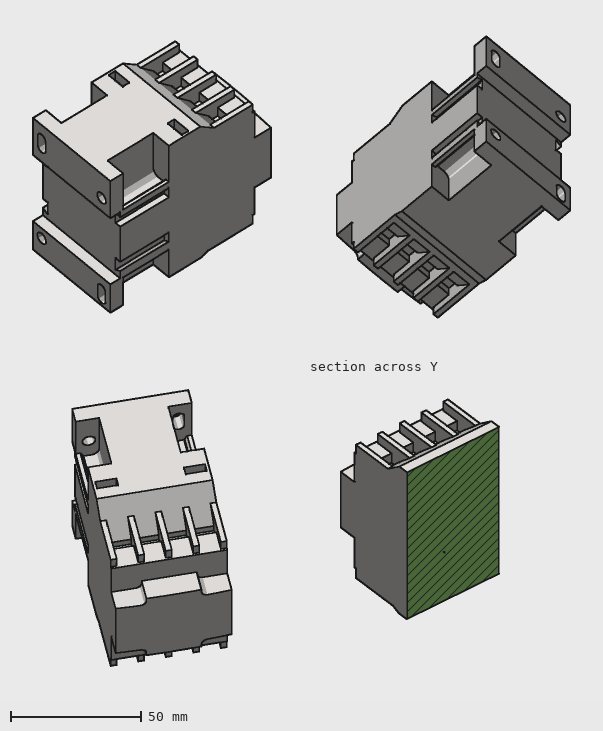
import cadquery as cq
import math


width = 45.5
height = 71.0
half_width = width / 2
rail_gap_depth = 5.0
rail_gap_bottom = 15.3
rail_gap_top = 51.0
shoulder_y = 72.95
terminal_end_y = 72.05

upper_ramp_start_y = 45.55
deck_start_y = 52.5
upper_deck_z = 65.8
upper_block_z = 61.5

lower_ramp_start_y = 45.8
lower_ramp_end_y = 49.6
lower_deck_z = 1.5
lower_block_z = 6.15

barrier_thickness = 2.35
compartment_count = 4
compartment_width = (width - (compartment_count + 1) * barrier_thickness) / compartment_count
compartment_pitch = compartment_width + barrier_thickness
chute_end_y = 59.0
chute_drop = 5.9
block_front_y = 63.6
well_depth = 8.8

nose_side_y = 81.3
nose_crown_y = 81.98
nose_centre_z = 33.85
nose_height = 34.4
nose_wing_height = 26.9
nose_half_core = 10.8
nose_fillet = 2.45

flange_thickness = 6.5
pocket_end_y = 29.6
pocket_depth = 9.2
pocket_fillet = 3.1
lip_flat = 1.8
lip_slope_end = 3.1
lip_height = 2.1
upper_lip_z = 51.5
lower_lip_z = 14.9

groove_depth = 2.8
groove_flare = 1.45
upper_groove_inner_z = 43.2
upper_groove_outer_z = 48.2
lower_groove_inner_z = 24.2
lower_groove_outer_z = 19.3

hole_x = 17.6
hole_diameter = 5.1
upper_hole_z = 58.1
lower_hole_z = 9.9
slot_width = 4.5
slot_length = 9.5
upper_slot_z = 61.05
lower_slot_z = 6.25

recess_inset = 1.25
recess_length = 8.3
recess_start_y = 37.2
recess_width = 3.4
recess_depth = 5.0


def along_x(points, start_x, length):
    """Extrude a closed (Y, Z) outline along +X from start_x."""
    return cq.Workplane("YZ").workplane(offset=start_x).polyline(points).close().extrude(length)


def along_y(profile, start_y, end_y):
    """Extrude a closed (X, Z) sketch function along +Y between two planes."""
    plane = cq.Workplane("XZ", origin=(0, start_y, 0))
    return profile(plane).close().extrude(start_y - end_y)


def both_sides(cutter):
    """Join a left-hand shape with its mirror image on the right."""
    return cutter.union(cutter.mirror("YZ"))


def make_housing():
    outline = [
        (0, 0),
        (lower_ramp_start_y, 0),
        (lower_ramp_end_y, lower_deck_z),
        (terminal_end_y, lower_deck_z),
        (terminal_end_y, lower_block_z),
        (shoulder_y, lower_block_z),
        (shoulder_y, upper_block_z),
        (terminal_end_y, upper_block_z),
        (terminal_end_y, upper_deck_z),
        (deck_start_y, upper_deck_z),
        (upper_ramp_start_y, height),
        (0, height),
        (0, rail_gap_top),
        (rail_gap_depth, rail_gap_top),
        (rail_gap_depth, rail_gap_bottom),
        (0, rail_gap_bottom),
    ]
    return along_x(outline, -half_width, width)


def make_nose():
    """Cross-shaped nose with concave corners and a gently crowned face."""
    length = nose_crown_y - shoulder_y
    core = cq.Workplane("XY").box(2 * nose_half_core, length, nose_height)
    wings = cq.Workplane("XY").box(width, length, nose_wing_height)
    reach = (
        (nose_half_core + half_width) / 2,
        length,
        (nose_wing_height + nose_height) / 4,
    )
    inner_corners = cq.selectors.BoxSelector(tuple(-size for size in reach), reach)
    nose = core.union(wings).edges("|Y").edges(inner_corners).fillet(nose_fillet)
    nose = nose.translate((0, shoulder_y + length / 2, nose_centre_z))
    crowned = (
        cq.Workplane("XY")
        .moveTo(-half_width, shoulder_y)
        .lineTo(-half_width, nose_side_y)
        .threePointArc((0, nose_crown_y), (half_width, nose_side_y))
        .lineTo(half_width, shoulder_y)
        .close()
        .extrude(height)
    )
    return nose.intersect(crowned)


def make_compartments(deck_z, block_z, outward):
    """Spaces between the barriers; outward is +1 on the upper deck, -1 on the lower."""
    chute_z = deck_z - outward * chute_drop
    well_z = deck_z - outward * well_depth
    outline = [
        (deck_start_y, deck_z),
        (chute_end_y, chute_z),
        (chute_end_y, well_z),
        (block_front_y, well_z),
        (block_front_y, block_z),
        (terminal_end_y, block_z),
        (terminal_end_y, deck_z),
    ]
    spaces = cq.Workplane("XY")
    for index in range(compartment_count):
        start_x = -half_width + barrier_thickness + index * compartment_pitch
        spaces = spaces.add(along_x(outline, start_x, compartment_width))
    return spaces.combine()


def make_pockets(lip_z, edge_z, outward):
    """Corner pockets with a lip on the open side and a rounded inner corner."""
    floor_z = lip_z - outward * lip_height
    wall_x = -half_width + pocket_depth
    diagonal = pocket_fillet * math.sqrt(0.5)
    arc_centre_x = wall_x - pocket_fillet
    arc_centre_z = floor_z + outward * pocket_fillet

    def profile(plane):
        return (
            plane.moveTo(-half_width, edge_z)
            .lineTo(-half_width, lip_z)
            .lineTo(-half_width + lip_flat, lip_z)
            .lineTo(-half_width + lip_slope_end, floor_z)
            .lineTo(arc_centre_x, floor_z)
            .threePointArc(
                (arc_centre_x + diagonal, arc_centre_z - outward * diagonal),
                (wall_x, arc_centre_z),
            )
            .lineTo(wall_x, edge_z)
        )

    return both_sides(along_y(profile, flange_thickness, pocket_end_y))


def make_grooves(inner_z, outer_z, outward):
    """Side grooves whose outer wall flares toward the groove floor."""
    floor_x = -half_width + groove_depth

    def profile(plane):
        return plane.polyline([
            (-half_width, inner_z),
            (floor_x, inner_z),
            (floor_x, outer_z + outward * groove_flare),
            (-half_width, outer_z),
        ])

    return both_sides(along_y(profile, rail_gap_depth, pocket_end_y))


def make_mounting_holes():
    front = cq.Workplane("XZ")
    round_holes = (
        front.pushPoints([(hole_x, upper_hole_z), (-hole_x, lower_hole_z)])
        .circle(hole_diameter / 2)
        .extrude(-flange_thickness)
    )
    slots = (
        front.pushPoints([(-hole_x, upper_slot_z), (hole_x, lower_slot_z)])
        .slot2D(slot_length, slot_width, 90)
        .extrude(-flange_thickness)
    )
    return round_holes.union(slots)


def make_top_recesses():
    recess = cq.Workplane("XY").box(recess_length, recess_width, recess_depth, centered=False)
    recess = recess.translate((-half_width + recess_inset, recess_start_y, height - recess_depth))
    return both_sides(recess)


result = make_housing().union(make_nose())
result = result.cut(make_compartments(upper_deck_z, upper_block_z, 1))
result = result.cut(make_compartments(lower_deck_z, lower_block_z, -1))
result = result.cut(make_pockets(upper_lip_z, height, 1))
result = result.cut(make_pockets(lower_lip_z, 0, -1))
result = result.cut(make_grooves(upper_groove_inner_z, upper_groove_outer_z, 1))
result = result.cut(make_grooves(lower_groove_inner_z, lower_groove_outer_z, -1))
result = result.cut(make_mounting_holes())
result = result.cut(make_top_recesses())